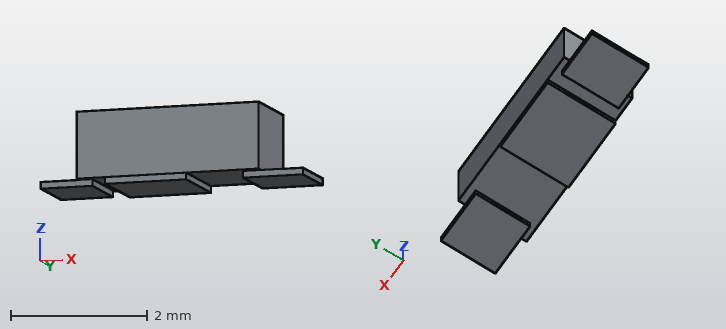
import cadquery as cq

overall_length = 4.03
plate_thickness = 0.1

housing_length = 2.8
housing_width = 1.2
housing_height = 1.0
housing_start = -overall_length / 2 + 0.585

left_terminal_length = 0.795
left_terminal_width = 1.0
right_terminal_length = 0.923
right_terminal_width = 0.96

pad_length = 1.25
pad_start = -overall_length / 2 + 1.025


def block(start_x, base_z, length, width, height):
    """Box starting at start_x and base_z, centred on Y."""
    return (
        cq.Workplane("XY")
        .box(length, width, height, centered=(False, True, False))
        .translate((start_x, 0, base_z))
    )


def plate(start_x, length, width):
    """Flat metal plate lying under the housing."""
    return block(start_x, 0, length, width, plate_thickness)


housing = block(housing_start, plate_thickness, housing_length, housing_width, housing_height)
left_terminal = plate(-overall_length / 2, left_terminal_length, left_terminal_width)
middle_pad = plate(pad_start, pad_length, housing_width)
right_terminal = plate(
    overall_length / 2 - right_terminal_length, right_terminal_length, right_terminal_width
)

result = cq.Compound.makeCompound(
    [housing.val(), left_terminal.val(), middle_pad.val(), right_terminal.val()]
)